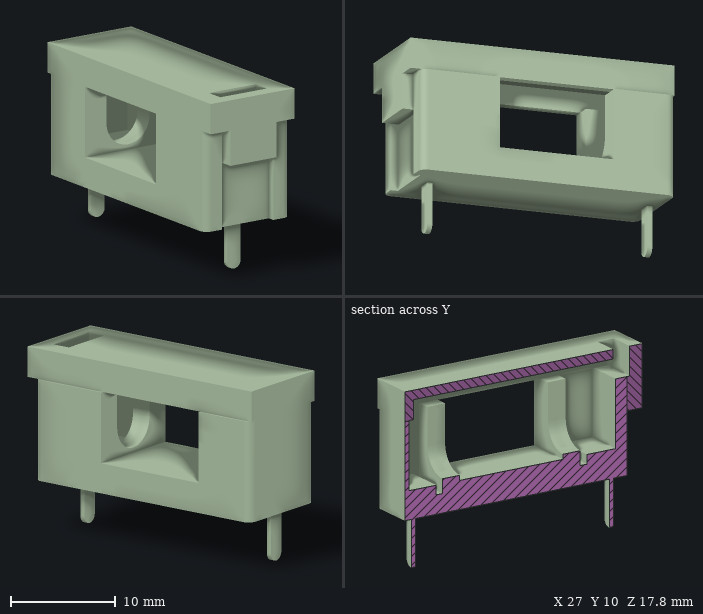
import cadquery as cq


base_length = 26.0
base_width = 10.0
base_height = 9.95
base_corner_radius = 0.8
mid_y = base_width / 2

window_start = 6.25
window_end = 17.95
floor_height = 2.97

pin_thickness = 0.5
pin_width = 1.6
pin_length = 4.83
left_pin_x = 0.73
pin_pitch = 22.5
pin_positions = [left_pin_x, left_pin_x + pin_pitch]

saddle_length = 2.0
saddle_radius = 2.5
saddle_axis_height = 6.0
chamber_wall = 1.0
chamber_width = base_width - 2 * chamber_wall
pin_clearance = 0.22
left_chamber_start = left_pin_x - pin_clearance
left_chamber_end = window_start - saddle_length
right_chamber_start = window_end + saddle_length
right_chamber_end = left_pin_x + pin_pitch + pin_thickness + pin_clearance

groove_length = 0.7
groove_floor = 2.0

cover_length = 27.0
cover_width = 9.77
cover_height = 3.0
cover_wall = 1.0
cover_end_wall = 1.45
cover_top = base_height + cover_height
cavity_end = cover_length - cover_end_wall
cavity_height = cover_height - cover_wall

slot_length = 1.85
slot_width = 5.5

tab_width = 5.4
tab_drop = 3.48
tab_start = 25.27
recess_width = 6.0


def box(x_start, x_end, width, y_center, z_start, z_end):
    """Box given by its X and Z limits and centred on y_center."""
    return (
        cq.Workplane("XY")
        .box(x_end - x_start, width, z_end - z_start, centered=(False, True, False))
        .translate((x_start, y_center, z_start))
    )


def saddle_cut(x_start):
    """U-shaped trough along X that carries one end of the fuse, open at the top."""
    round_bottom = (
        cq.Workplane("YZ", origin=(x_start, mid_y, saddle_axis_height))
        .circle(saddle_radius)
        .extrude(saddle_length)
    )
    opening = box(
        x_start, x_start + saddle_length, 2 * saddle_radius, mid_y, saddle_axis_height, base_height
    )
    return round_bottom.union(opening)


def pin(x_start):
    """Flat solder pin with a round tip, hanging from the underside of the base."""
    tip_radius = pin_width / 2
    straight_length = pin_length - tip_radius
    return (
        cq.Workplane("YZ", origin=(x_start, mid_y, 0))
        .moveTo(-tip_radius, 0)
        .lineTo(-tip_radius, -straight_length)
        .threePointArc((0, -pin_length), (tip_radius, -straight_length))
        .lineTo(tip_radius, 0)
        .close()
        .extrude(pin_thickness)
    )


def make_base():
    base = box(0, base_length, base_width, mid_y, 0, base_height).edges("|Z").fillet(base_corner_radius)

    base = base.cut(box(window_start, window_end, base_width, mid_y, floor_height, base_height))

    for start, end in [
        (left_chamber_start, left_chamber_end),
        (right_chamber_start, right_chamber_end),
    ]:
        base = base.cut(box(start, end, chamber_width, mid_y, floor_height, base_height))

    for start in [left_chamber_end, window_end]:
        base = base.cut(saddle_cut(start))

    for start in [left_chamber_end - groove_length, right_chamber_start]:
        base = base.cut(
            box(start, start + groove_length, chamber_width, mid_y, groove_floor, floor_height)
        )

    base = base.cut(box(tab_start, base_length, recess_width, mid_y, 0, base_height))

    for x_start in pin_positions:
        base = base.union(pin(x_start))
    return base


def make_cover():
    cover_mid_y = cover_width / 2
    cover = box(0, cover_length, cover_width, cover_mid_y, base_height, cover_top)

    cover = cover.cut(
        box(
            cover_wall,
            cavity_end,
            cover_width - 2 * cover_wall,
            cover_mid_y,
            base_height,
            base_height + cavity_height,
        )
    )

    cover = cover.cut(
        box(cavity_end - slot_length, cavity_end, slot_width, cover_mid_y, base_height, cover_top)
    )

    tab = box(tab_start, cover_length, tab_width, mid_y, base_height - tab_drop, base_height)
    return cover.union(tab)


base = make_base()
cover = make_cover()
result = cq.Compound.makeCompound([base.val(), cover.val()])